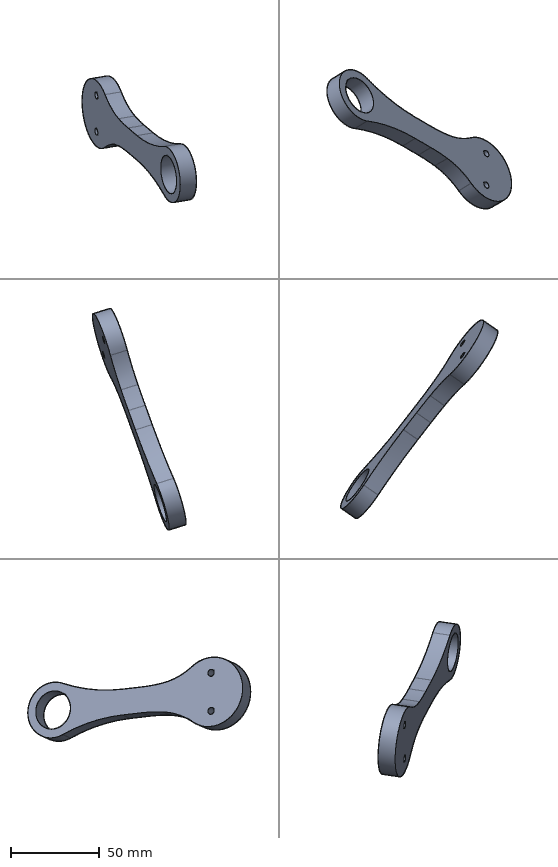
import cadquery as cq
import math

overall_length = 136.0
thickness = 10.0
disc_radius = 20.0
eye_radius = 16.0
eye_hole_diameter = 21.9
pin_hole_diameter = 4.0
pin_hole_offset = 11.0
neck_half_height = 7.5
waist_radius = 100.0
blend_radius = 40.0

eye_x = overall_length - disc_radius - eye_radius


def point_from(center, target, distance):
    """Point at the given distance from center, in the direction of target."""
    dx = target[0] - center[0]
    dz = target[1] - center[1]
    scale = distance / math.hypot(dx, dz)
    return (center[0] + dx * scale, center[1] + dz * scale)


def on_arc_between(center, start, end, radius):
    """Middle point of the short arc from start to end."""
    chord_middle = ((start[0] + end[0]) / 2, (start[1] + end[1]) / 2)
    return point_from(center, chord_middle, radius)


def mirrored(point):
    return (point[0], -point[1])


waist_z = neck_half_height + waist_radius
waist_reach = math.sqrt((eye_radius + waist_radius) ** 2 - waist_z ** 2)
eye_center = (eye_x, 0)
right_waist = (eye_x - waist_reach, waist_z)
left_waist = (waist_reach, waist_z)

disc_center = (0, 0)
disc_to_blend = disc_radius + blend_radius
waist_to_blend = waist_radius - blend_radius
disc_to_waist = math.hypot(*left_waist)
along = (disc_to_blend ** 2 - waist_to_blend ** 2 + disc_to_waist ** 2) / (2 * disc_to_waist)
aside = math.sqrt(disc_to_blend ** 2 - along ** 2)
unit_x = left_waist[0] / disc_to_waist
unit_z = left_waist[1] / disc_to_waist
blend = (along * unit_x + aside * unit_z, along * unit_z - aside * unit_x)

disc_end = point_from(disc_center, blend, disc_radius)
blend_end = point_from(left_waist, blend, waist_radius)
neck_start = (left_waist[0], neck_half_height)
neck_end = (right_waist[0], neck_half_height)
eye_start = point_from(eye_center, right_waist, eye_radius)

blend_mid = on_arc_between(blend, disc_end, blend_end, blend_radius)
left_waist_mid = on_arc_between(left_waist, blend_end, neck_start, waist_radius)
right_waist_mid = on_arc_between(right_waist, neck_end, eye_start, waist_radius)

back_face = (0, thickness / 2, 0)
body = (
    cq.Workplane("XZ", origin=back_face)
    .moveTo(*disc_end)
    .threePointArc(blend_mid, blend_end)
    .threePointArc(left_waist_mid, neck_start)
    .lineTo(*neck_end)
    .threePointArc(right_waist_mid, eye_start)
    .threePointArc((eye_x + eye_radius, 0), mirrored(eye_start))
    .threePointArc(mirrored(right_waist_mid), mirrored(neck_end))
    .lineTo(*mirrored(neck_start))
    .threePointArc(mirrored(left_waist_mid), mirrored(blend_end))
    .threePointArc(mirrored(blend_mid), mirrored(disc_end))
    .threePointArc((-disc_radius, 0), disc_end)
    .close()
    .extrude(thickness)
)


def through_holes(diameter, centers):
    """Cylinders along Y that pass through the whole thickness."""
    return (
        cq.Workplane("XZ", origin=back_face)
        .pushPoints(centers)
        .circle(diameter / 2)
        .extrude(thickness)
    )


eye_hole = through_holes(eye_hole_diameter, [eye_center])
pin_holes = through_holes(pin_hole_diameter, [(0, pin_hole_offset), (0, -pin_hole_offset)])

result = body.cut(eye_hole).cut(pin_holes)